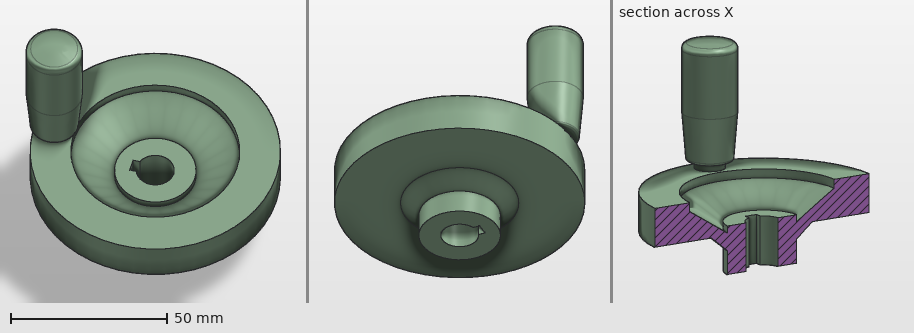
import cadquery as cq

wheel_radius = 40.0
wheel_top = 26.0
rim_bottom = 12.95
hub_radius = 13.0
hub_bottom_length = 8.0
hub_top = 16.25
web_outer_radius = 18.9
recess_radius = 27.0
recess_wall_depth = 3.0
recess_floor = 13.95

bore_radius = 6.0
key_width = 4.1
key_reach = 7.9

handle_offset = 33.5
handle_radius = 9.0
handle_end_radius = 7.7
handle_bottom = 28.5
taper_top = 44.5
handle_top = 68.5
dome_height = 1.0
dome_radius = 7.5
shoulder_height = 2.2
end_rounding = 1.0
spindle_radius = 5.0


def make_wheel():
    """Dished disc and hub, revolved about Z."""
    return (
        cq.Workplane("XZ")
        .moveTo(0, 0)
        .lineTo(hub_radius, 0)
        .lineTo(hub_radius, hub_bottom_length)
        .lineTo(web_outer_radius, rim_bottom)
        .lineTo(wheel_radius, rim_bottom)
        .lineTo(wheel_radius, wheel_top)
        .lineTo(recess_radius, wheel_top)
        .lineTo(recess_radius, wheel_top - recess_wall_depth)
        .lineTo(hub_radius, recess_floor)
        .lineTo(hub_radius, hub_top)
        .lineTo(0, hub_top)
        .close()
        .revolve(360, (0, 0), (0, 1))
    )


def make_bore():
    """Through bore with a keyway on the handle side."""
    bore = cq.Workplane("XY").circle(bore_radius).extrude(hub_top)
    keyway = (
        cq.Workplane("XY")
        .center(-key_reach / 2, 0)
        .rect(key_reach, key_width)
        .extrude(hub_top)
    )
    return bore.union(keyway)


def make_handle():
    """Tapered grip with a domed top, standing on a spindle set on the rim."""
    dome_base = handle_top - dome_height
    shoulder = dome_base - shoulder_height
    shoulder_width = handle_radius - dome_radius
    diagonal = 0.5 ** 0.5
    shoulder_mid = (
        dome_radius + shoulder_width * diagonal,
        shoulder + shoulder_height * diagonal,
    )
    dome_sphere = (dome_radius**2 + dome_height**2) / (2 * dome_height)
    half_chord = dome_radius / 2
    dome_mid_drop = dome_sphere - (dome_sphere**2 - half_chord**2) ** 0.5
    grip = (
        cq.Workplane("XZ")
        .moveTo(0, handle_bottom)
        .lineTo(handle_end_radius, handle_bottom)
        .lineTo(handle_radius, taper_top)
        .lineTo(handle_radius, shoulder)
        .threePointArc(shoulder_mid, (dome_radius, dome_base))
        .threePointArc((half_chord, handle_top - dome_mid_drop), (0, handle_top))
        .close()
        .revolve(360, (0, 0), (0, 1))
        .faces("<Z")
        .edges()
        .fillet(end_rounding)
    )
    spindle = (
        cq.Workplane("XY")
        .workplane(offset=rim_bottom)
        .circle(spindle_radius)
        .extrude(handle_bottom - rim_bottom)
    )
    return grip.union(spindle).translate((-handle_offset, 0, 0))


result = make_wheel().cut(make_bore()).union(make_handle())